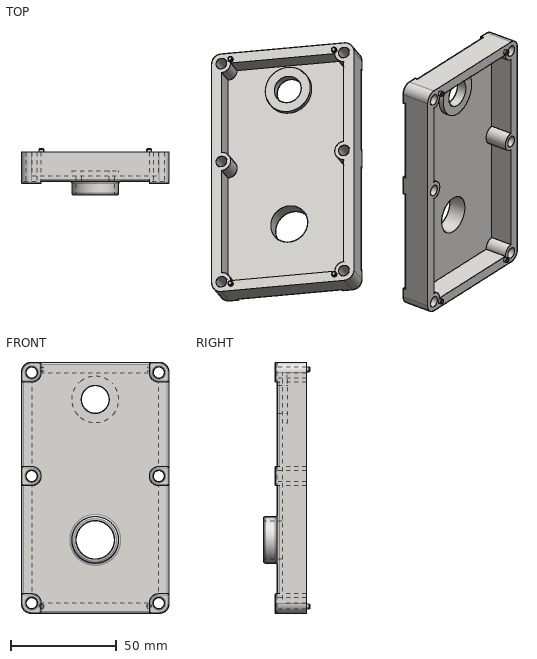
import cadquery as cq
import math

height = 119.0
width = 70.0
corner_radius = 4.8
total_depth = 22.0
pin_length = 1.5
rim_to_pad = 15.0
pad_step = 1.0
edge_fillet = 1.0
pad_fillet = 0.6
wall_thickness = 5.0
floor_thickness = 2.5

screw_radius = 2.6
post_radius = 4.5
screw_inset = 4.9
middle_screw_z = 5.6
screw_x = width / 2 - screw_inset
screw_z = height / 2 - screw_inset

upper_z = 41.9
upper_hole_radius = 6.5
seat_radius = 11.1
seat_height = 2.5
lower_z = -24.6
lower_hole_radius = 9.0
collar_radius = 11.1

pin_radius = 1.2
pin_x = 25.5
pin_z = 56.2
pin_chamfer = 0.4

face_y = pad_step - rim_to_pad
pad_y = -rim_to_pad
collar_y = pin_length - total_depth
floor_y = face_y + floor_thickness
seat_y = floor_y + seat_height


def plane_at(y):
    """Plane parallel to XZ at the given Y, extruding toward -Y."""
    return cq.Workplane("XZ", origin=(0, y, 0))


def cylinder(x, z, radius, y_start, y_end):
    """Cylinder along Y from y_start down to y_end."""
    return plane_at(y_start).center(x, z).circle(radius).extrude(y_start - y_end)


def box(x_min, x_max, z_min, z_max, y_start, y_end):
    """Block along Y from y_start down to y_end."""
    sketch = plane_at(y_start).center((x_min + x_max) / 2, (z_min + z_max) / 2)
    return sketch.rect(x_max - x_min, z_max - z_min).extrude(y_start - y_end)


def rounded_block(y_start, y_end):
    """Full housing outline with round corners."""
    block = plane_at(y_start).rect(width, height).extrude(y_start - y_end)
    return block.edges("|Y").fillet(corner_radius)


def post(x, z):
    """Full-depth screw post: a round end joined squarely to the nearby outer walls."""
    outer_x = math.copysign(width / 2, x)
    body = cylinder(x, z, post_radius, 0, pad_y)
    body = body.union(box(min(x, outer_x), max(x, outer_x), z - post_radius, z + post_radius, 0, pad_y))
    if z != middle_screw_z:
        outer_z = math.copysign(height / 2, z)
        body = body.union(box(x - post_radius, x + post_radius, min(z, outer_z), max(z, outer_z), 0, pad_y))
    body = body.intersect(rounded_block(0, pad_y)).clean()
    body = body.cut(screw_hole(x, z))
    return body.faces("<Y").edges().fillet(pad_fillet)


def screw_hole(x, z):
    """Through hole of one screw."""
    return cylinder(x, z, screw_radius, 0, pad_y)


def housing():
    """Open tray with a rounded outer face edge."""
    shell = rounded_block(0, face_y).faces("<Y").edges().fillet(edge_fillet)
    cavity_x = width / 2 - wall_thickness
    cavity_z = height / 2 - wall_thickness
    return shell.cut(box(-cavity_x, cavity_x, -cavity_z, cavity_z, 0, floor_y))


def collar():
    """Round collar with a filleted rim and a flared root."""
    ring = cylinder(0, lower_z, collar_radius, floor_y, collar_y).faces("<Y").edges().fillet(edge_fillet)
    root_radius = collar_radius + edge_fillet
    root_profile = (
        cq.Workplane("XY")
        .moveTo(0, face_y)
        .lineTo(root_radius, face_y)
        .radiusArc((collar_radius, face_y - edge_fillet), -edge_fillet)
        .lineTo(0, face_y - edge_fillet)
        .close()
    )
    root = root_profile.revolve(360, (0, 0, 0), (0, 1, 0)).translate((0, 0, lower_z))
    return ring.union(root)


def pin(x, z):
    """Locating pin rising from the rim with a small lead-in chamfer."""
    body = cylinder(x, z, pin_radius, pin_length, -pin_length)
    return body.faces(">Y").edges().chamfer(pin_chamfer)


screws = [(x, z) for x in (-screw_x, screw_x) for z in (-screw_z, middle_screw_z, screw_z)]

result = housing()
for x, z in screws:
    result = result.union(post(x, z))
    result = result.cut(screw_hole(x, z))

result = result.union(cylinder(0, upper_z, seat_radius, seat_y, face_y))
result = result.cut(cylinder(0, upper_z, upper_hole_radius, seat_y, face_y))
result = result.union(collar())
result = result.cut(cylinder(0, lower_z, lower_hole_radius, 0, collar_y))

for x in (-pin_x, pin_x):
    for z in (-pin_z, pin_z):
        result = result.union(pin(x, z))